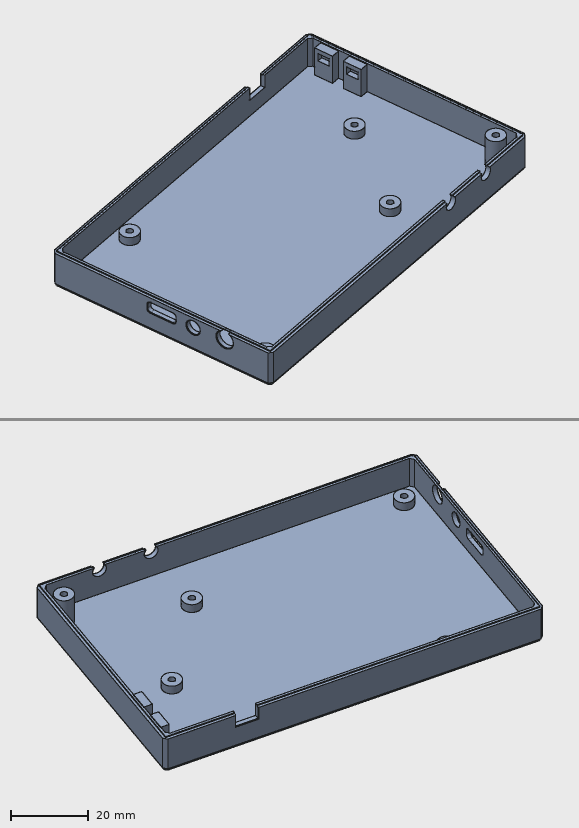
import cadquery as cq
import math

length_x = 70.0
length_y = 111.0
half_x = length_x / 2
half_y = length_y / 2
body_height = 11.0
tongue_height = 0.32
height = body_height + tongue_height
tongue_inset = 0.8
wall = 1.5
floor_thickness = 2.0
corner_chamfer = 1.0
bottom_bevel_height = 1.0
bottom_bevel_inset = 0.577
pocket_chamfer = 1.0

post_diameter = 5.5
pilot_diameter = 1.9
short_post_top = 4.6
short_posts = [(-7.9, 38.7), (18.2, 18.8), (-28.7, -30.4), (28.0, -48.5)]
tall_post_top = body_height
tall_posts = [(28.5, 50.6)]

block_width = 5.7
block_depth = 2.6
block_centers_x = [-27.15, -18.0]
window_width = 3.6
window_height = 2.4
window_bottom = 7.2
window_depth = 1.6

flare = 0.2

port_z = 7.75
slot_x = 0.0
slot_width = 9.0
slot_height = 3.2
slot_radius = 1.0
jack_x = 10.1
jack_diameter = 4.2
plug_x = 20.2
plug_z = 8.65
plug_diameter = 5.2

switch_bottom = 7.25
switch_y = 31.3
switch_width = 6.5
switch_height = 2 * (height - switch_bottom)
notch_diameter = 4.0
notch_z = 10.0
notches_y = [37.5, 22.4]


def box_at(width, depth, tall, x, y, z):
    """Box centred on x, starting at y and z."""
    box = cq.Workplane("XY").box(width, depth, tall, centered=(True, False, False))
    return box.translate((x, y, z))


def body_outline():
    outline = cq.Sketch().rect(length_x, length_y)
    return outline.vertices().chamfer(corner_chamfer)


def tray():
    bevel_top = cq.Workplane("XY").workplane(offset=bottom_bevel_height)
    bevel_angle = math.degrees(math.atan2(bottom_bevel_inset, bottom_bevel_height))
    sides = bevel_top.placeSketch(body_outline()).extrude(body_height - bottom_bevel_height)
    bevel = bevel_top.placeSketch(body_outline()).extrude(-bottom_bevel_height, taper=bevel_angle)
    above_floor = cq.Workplane("XY").workplane(offset=floor_thickness)
    inner_height = height - floor_thickness
    tongue = above_floor.rect(length_x - 2 * tongue_inset, length_y - 2 * tongue_inset).extrude(inner_height)
    pocket = above_floor.rect(length_x - 2 * wall, length_y - 2 * wall).extrude(inner_height)
    pocket = pocket.edges("|Z").chamfer(pocket_chamfer)
    return sides.union(bevel).union(tongue).cut(pocket)


def cylinders(centers, diameter, top):
    return cq.Workplane("XY").pushPoints(centers).circle(diameter / 2).extrude(top)


def latch_block(x):
    face_y = half_y - wall - block_depth
    block = box_at(block_width, block_depth, body_height - floor_thickness, x, face_y, floor_thickness)
    window = box_at(window_width, window_depth, window_height, x, face_y, window_bottom)
    return block.cut(window)


def slot_outline(growth):
    outline = cq.Sketch().rect(slot_width + 2 * growth, slot_height + 2 * growth)
    return outline.vertices().fillet(slot_radius + growth)


def jack_outline(growth):
    return cq.Sketch().circle(jack_diameter / 2 + growth)


def plug_outline(growth):
    return cq.Sketch().circle(plug_diameter / 2 + growth)


def switch_outline(growth):
    return cq.Sketch().rect(switch_width + 2 * growth, switch_height + 2 * growth)


def front_plane(x, z):
    return cq.Plane(origin=(x, -half_y, z), xDir=(1, 0, 0), normal=(0, 1, 0))


def left_plane(y, z):
    return cq.Plane(origin=(-half_x, y, z), xDir=(0, 1, 0), normal=(1, 0, 0))


def flared_cutter(plane, outline):
    """Cutter running inwards through a wall, widened by the flare at the outer face."""
    hole = cq.Workplane(plane).placeSketch(outline(0)).extrude(wall)
    flare_end = outline(0).moved(cq.Location(cq.Vector(0, 0, flare)))
    return hole.union(cq.Workplane(plane).placeSketch(outline(flare), flare_end).loft())


def notch_cutter(y):
    return cq.Workplane("YZ", origin=(half_x, y, notch_z)).circle(notch_diameter / 2).extrude(-wall)


result = tray()
result = result.union(cylinders(short_posts, post_diameter, short_post_top))
result = result.union(cylinders(tall_posts, post_diameter, tall_post_top))
for block_x in block_centers_x:
    result = result.union(latch_block(block_x))
result = result.cut(cylinders(short_posts + tall_posts, pilot_diameter, height))
result = result.cut(flared_cutter(front_plane(slot_x, port_z), slot_outline))
result = result.cut(flared_cutter(front_plane(jack_x, port_z), jack_outline))
result = result.cut(flared_cutter(front_plane(plug_x, plug_z), plug_outline))
result = result.cut(flared_cutter(left_plane(switch_y, height), switch_outline))
for notch_y in notches_y:
    result = result.cut(notch_cutter(notch_y))